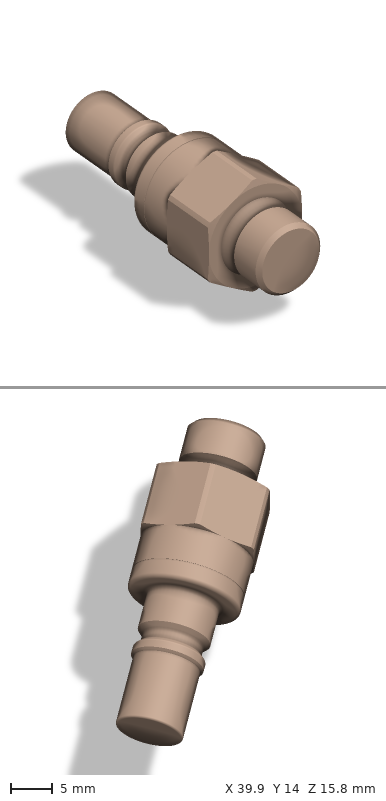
import cadquery as cq
import math

plug_diameter = 8.35
seat_diameter = 9.0
groove_diameter = 7.6
collar_diameter = 14.0
thread_diameter = 9.75

ring_start = 8.9
ring_end = 10.35
groove_start = 10.8
groove_end = 12.13
collar_start = 17.4
scribe_start = 19.67
hex_start = 24.3
hex_end = 32.8
neck_start = 33.5
total_length = 39.9

tip_fillet = 0.25
ring_chamfer = (seat_diameter - plug_diameter) / 2
ring_edge_fillet = 0.3
groove_wall_fillet = 0.5
collar_root_fillet = 0.48
collar_edge_fillet = 0.5
scribe_width = 0.15
scribe_depth = 0.06
neck_cone_diameter = 10.35
neck_arc_radius = 0.88
thread_chamfer_length = 0.6
thread_end_diameter = 8.6

hex_across_flats = collar_diameter
hex_corner_diameter = 15.8
hex_bevel_angle = 15.0

DIAGONAL = math.sqrt(0.5)
HALF_TURN_ANGLE = math.pi / 8
MIDDLE_RUN = math.sin(HALF_TURN_ANGLE)
MIDDLE_RISE = 1 - math.cos(HALF_TURN_ANGLE)


def turn(outline):
    """Revolve a closed half outline, drawn in X and radius, about the X axis."""
    return outline.close().revolve(360, (0, 0, 0), (1, 0, 0))


def make_plug():
    """Plug with its retaining ring and rounded groove, up to the collar face."""
    plug_radius = plug_diameter / 2
    seat_radius = seat_diameter / 2
    groove_radius = groove_diameter / 2
    tip_inset = tip_fillet * (1 - DIAGONAL)
    edge_start = ring_end - ring_edge_fillet * DIAGONAL
    edge_end_radius = seat_radius - ring_edge_fillet * (1 - DIAGONAL)
    root_inset = collar_root_fillet * (1 - DIAGONAL)
    blend_length = groove_wall_fillet * DIAGONAL
    blend_radius = groove_radius + groove_wall_fillet * (1 - DIAGONAL)
    blend_middle_run = groove_wall_fillet * MIDDLE_RUN
    blend_middle_radius = groove_radius + groove_wall_fillet * MIDDLE_RISE
    floor_start = groove_start + blend_length
    floor_end = groove_end - blend_length
    seat_start = groove_end + seat_radius - blend_radius
    outline = (
        cq.Workplane("XY")
        .moveTo(0, 0)
        .lineTo(0, plug_radius - tip_fillet)
        .threePointArc((tip_inset, plug_radius - tip_inset), (tip_fillet, plug_radius))
        .lineTo(ring_start, plug_radius)
        .lineTo(ring_start + ring_chamfer, seat_radius)
        .lineTo(edge_start, seat_radius)
        .threePointArc(
            (edge_start + ring_edge_fillet * MIDDLE_RUN, seat_radius - ring_edge_fillet * MIDDLE_RISE),
            (ring_end, edge_end_radius),
        )
        .lineTo(groove_start, blend_radius)
        .threePointArc((floor_start - blend_middle_run, blend_middle_radius), (floor_start, groove_radius))
        .lineTo(floor_end, groove_radius)
        .threePointArc((floor_end + blend_middle_run, blend_middle_radius), (groove_end, blend_radius))
        .lineTo(seat_start, seat_radius)
        .lineTo(collar_start - collar_root_fillet, seat_radius)
        .threePointArc(
            (collar_start - root_inset, seat_radius + root_inset),
            (collar_start, seat_radius + collar_root_fillet),
        )
        .lineTo(collar_start, 0)
    )
    return turn(outline)


def make_collar():
    """Round collar with a rounded front edge and a fine scribed groove."""
    length = hex_start - collar_start
    collar = cq.Workplane("YZ", origin=(collar_start, 0, 0)).circle(collar_diameter / 2).extrude(length)
    collar = collar.faces("<X").edges().fillet(collar_edge_fillet)
    scribe = (
        cq.Workplane("YZ", origin=(scribe_start, 0, 0))
        .circle(collar_diameter / 2 + scribe_depth)
        .circle(collar_diameter / 2 - scribe_depth)
        .extrude(scribe_width)
    )
    return collar.cut(scribe)


def make_hexagon():
    """Hexagon with flats facing Y, turned corners and beveled ends."""
    full_corner_diameter = hex_across_flats / math.cos(math.pi / 6)
    prism = (
        cq.Workplane("YZ", origin=(hex_start, 0, 0))
        .transformed(rotate=(0, 0, 90))
        .polygon(6, full_corner_diameter)
        .extrude(hex_end - hex_start)
    )
    face_radius = hex_across_flats / 2
    corner_radius = hex_corner_diameter / 2
    bevel_length = (corner_radius - face_radius) * math.tan(math.radians(hex_bevel_angle))
    envelope = (
        cq.Workplane("XY")
        .moveTo(hex_start, 0)
        .lineTo(hex_start, face_radius)
        .lineTo(hex_start + bevel_length, corner_radius)
        .lineTo(hex_end - bevel_length, corner_radius)
        .lineTo(hex_end, face_radius)
        .lineTo(hex_end, 0)
    )
    return prism.intersect(turn(envelope))


def make_threaded_end():
    """Conical shoulder, rounded relief neck and plain cylinder standing for the thread."""
    thread_radius = thread_diameter / 2
    cone_radius = neck_cone_diameter / 2
    arc_start_radius = cone_radius - (neck_start - hex_end)
    arc_center_x = neck_start + neck_arc_radius * DIAGONAL
    arc_center_radius = arc_start_radius + neck_arc_radius * DIAGONAL
    thread_start = arc_center_x + math.sqrt(neck_arc_radius**2 - (arc_center_radius - thread_radius) ** 2)
    outline = (
        cq.Workplane("XY")
        .moveTo(hex_end, 0)
        .lineTo(hex_end, cone_radius)
        .lineTo(neck_start, arc_start_radius)
        .threePointArc(
            (arc_center_x, arc_center_radius - neck_arc_radius),
            (thread_start, thread_radius),
        )
        .lineTo(total_length - thread_chamfer_length, thread_radius)
        .lineTo(total_length, thread_end_diameter / 2)
        .lineTo(total_length, 0)
    )
    return turn(outline)


result = make_plug().union(make_collar()).union(make_hexagon()).union(make_threaded_end())